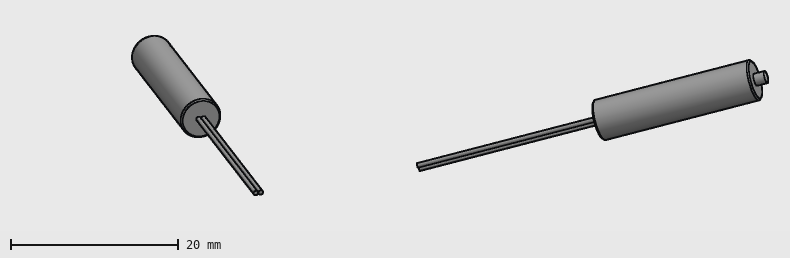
import cadquery as cq

total_length = 44.5
pin_length = 1.5
body_length = 20.0
wire_length = total_length - pin_length - body_length

body_diameter = 5.0
body_edge_chamfer = 0.2

pin_diameter = 1.5
dome_height = 0.2

wire_diameter = 0.6
wire_spacing = 0.62

pin_tip_x = -total_length / 2
body_front_x = pin_tip_x + pin_length
body_back_x = body_front_x + body_length


def cylinder_along_x(start_x, length, diameter, center_y=0.0):
    """Solid cylinder running toward +X from start_x."""
    plane = cq.Workplane("YZ", origin=(start_x, center_y, 0))
    return plane.circle(diameter / 2).extrude(length)


def make_body():
    body = cylinder_along_x(body_front_x, body_length, body_diameter)
    return body.edges().chamfer(body_edge_chamfer)


def make_pin():
    """Revolve the half profile of the pin, with a spherical cap at its tip."""
    radius = pin_diameter / 2
    dome_base_x = pin_tip_x + dome_height
    dome_radius = (radius**2 + dome_height**2) / (2 * dome_height)
    return (
        cq.Workplane("XY")
        .moveTo(pin_tip_x, 0)
        .radiusArc((dome_base_x, radius), dome_radius)
        .lineTo(body_front_x, radius)
        .lineTo(body_front_x, 0)
        .close()
        .revolve(360, (0, 0, 0), (1, 0, 0))
    )


result = make_body().union(make_pin())
for side in (-1, 1):
    wire_y = side * wire_spacing / 2
    result = result.union(cylinder_along_x(body_back_x, wire_length, wire_diameter, wire_y))